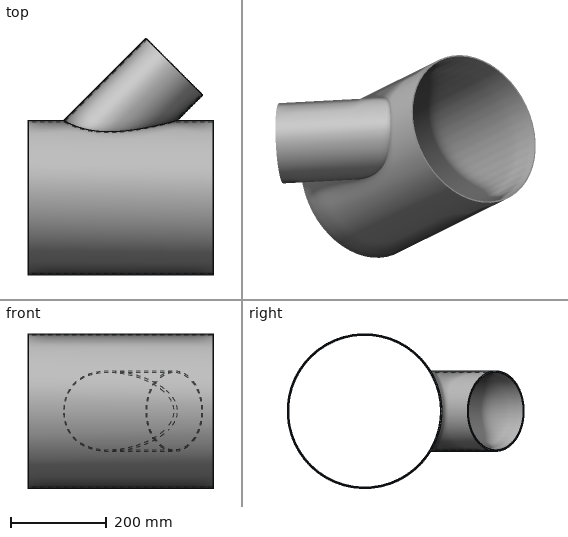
import cadquery as cq
import math

MAIN_OUTER_DIAMETER = 323.9
MAIN_LENGTH = 388.0

BRANCH_OUTER_DIAMETER = 168.3
BRANCH_ANGLE = 45.0
BRANCH_REACH = 333.99
AXES_CROSSING_X = 31.5

WALL_THICKNESS = 3.0

angle = math.radians(BRANCH_ANGLE)
branch_radius = BRANCH_OUTER_DIAMETER / 2
branch_end_y = BRANCH_REACH - branch_radius * math.cos(angle)

branch_start = branch_radius
branch_end = branch_end_y / math.sin(angle)


def bore_diameter(outer_diameter):
    return outer_diameter - 2 * WALL_THICKNESS


def main_cylinder(diameter):
    """Cylinder along X over the full length of the main pipe."""
    return cq.Workplane("YZ").circle(diameter / 2).extrude(MAIN_LENGTH)


def branch_cylinder(diameter):
    """Cylinder along the branch axis, from inside the main bore to the branch end."""
    start_plane = cq.Plane(
        origin=(
            AXES_CROSSING_X + branch_start * math.cos(angle),
            branch_start * math.sin(angle),
            0,
        ),
        xDir=(0, 0, 1),
        normal=(math.cos(angle), math.sin(angle), 0),
    )
    return cq.Workplane(start_plane).circle(diameter / 2).extrude(branch_end - branch_start)


outer_body = main_cylinder(MAIN_OUTER_DIAMETER).union(branch_cylinder(BRANCH_OUTER_DIAMETER))
main_bore = main_cylinder(bore_diameter(MAIN_OUTER_DIAMETER))
branch_bore = branch_cylinder(bore_diameter(BRANCH_OUTER_DIAMETER))

result = outer_body.cut(main_bore).cut(branch_bore)